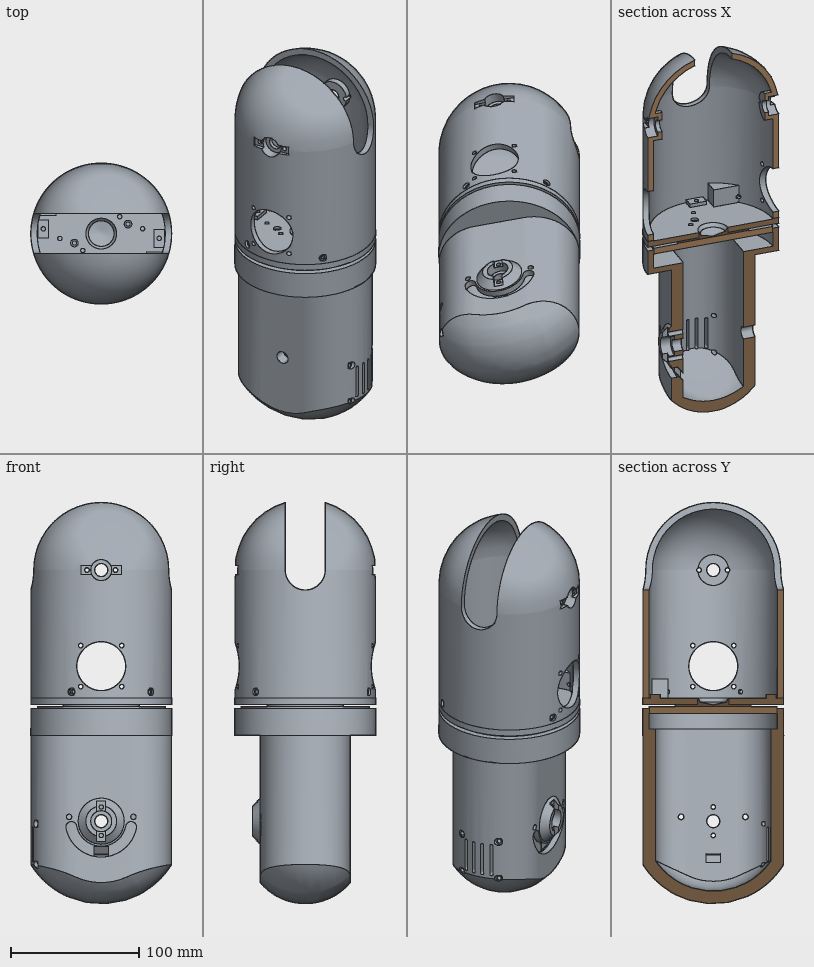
import cadquery as cq
import math

OUTER_D = 110.1
OUTER_R = OUTER_D / 2
HOUSING_R = 55.0
BORE_D = 100.0
BORE_R = BORE_D / 2
WALL = HOUSING_R - BORE_R

HOUSING_BOTTOM_Z = -100.0
PLATE_BOTTOM_Z = -105.0
LID_TOP_Z = -106.5
COLLAR_TOP_Z = -108.0
COLLAR_BOTTOM_Z = -129.0
LOWER_PIVOT_Z = -196.0
TIP_Z = -260.5

PIVOT_HOLE_D = 10.0
HORN_SEAT_D = 16.4
HORN_LENGTH = 31.4
HORN_WIDTH = 7.0
HORN_ARM_DEPTH = 4.0
HORN_SEAT_DEPTH = 8.5
HORN_SCREW_D = 3.4
HORN_SCREW_OFFSET = 11.1

YOKE_GAP = 31.0
PIVOT_PAD_D = 24.0
PIVOT_PAD_FACE_Y = 43.0
FAN_Z = -75.0
FAN_HOLE_D = 38.0
FAN_PITCH = 32.0
SCREW_D = 3.4
SCREW_HEAD_D = 5.9
RIM_SCREW_Z = -95.0
RIM_SCREW_ANGLES = (65.0, 135.0, 245.0, 315.0)
RIM_HEAD_SEAT_R = 53.0

PLATE_LUG_X = 45.2
PLATE_LUG_Y = 3.7
PLATE_LUG_LENGTH = 14.0
PLATE_LUG_WIDTH = 8.0
PLATE_LUG_HEIGHT = 3.0
PLATE_HEAD_DEPTH = 2.0
EAR_INNER_X = 35.3
EAR_START_Y = 14.3
EAR_END_Y = 40.0
EAR_HEIGHT = 15.0
EAR_SCREW_ANGLE = RIM_SCREW_ANGLES[-1]
HEAD_HOLE_AT = (20.9, 7.4)
OUTER_HOLE_AT = (32.3, 3.8)
INNER_HOLE_AT = (14.4, 13.2)

HUB_D = 59.6
HUB_SPIGOT_D = 24.0
HUB_DISH_FLOOR_D = 20.0
HUB_DISH_DEPTH = 3.0
HUB_POINT_ANGLE = 155.0

BODY_WIDTH = 70.4
BODY_HALF_WIDTH = BODY_WIDTH / 2
BODY_WALL = 10.0
CAP_EDGE_RISE = 16.6
LID_SEAT_DEPTH = 4.0
CONE_TOP_D = 24.0
CONE_HEIGHT = 6.0
CONE_BASE_D = CONE_TOP_D + 2 * CONE_HEIGHT
CRESCENT_OUTER_R = 28.0
CRESCENT_INNER_R = 19.5
CRESCENT_END_ANGLE = 11.0
CRESCENT_DEPTH = 5.0
PORT_WIDTH = 11.0
PORT_HEIGHT = 6.4
PORT_DROP = 23.0
PORT_SLOPE = 50.0
SIDE_HOLE_D = 4.2
SIDE_HOLE_X = 25.1
SIDE_HOLE_RISE = 3.4
VENT_Z = -214.0
VENT_WIDTH = 2.4
VENT_LENGTH = 27.0
VENT_PITCH = 7.3
VENT_COUNT = 4
VENT_HEAD_SEAT_X = 49.5


def disc(diameter, bottom_z, top_z):
    return cq.Workplane("XY", origin=(0, 0, bottom_z)).circle(diameter / 2).extrude(top_z - bottom_z)


def rod_along_y(diameter, x, z, y_start, y_end):
    start = cq.Vector(x, y_start, z)
    return cq.Workplane(cq.Solid.makeCylinder(diameter / 2, y_end - y_start, start, cq.Vector(0, 1, 0)))


def fan_corners():
    half = FAN_PITCH / 2
    return [(side, rise) for side in (-half, half) for rise in (-half, half)]


def horn_recess(face_y, pivot_z, arm_angle):
    """Horn seat cut inwards from a face at y = -face_y, with pivot and screw holes through its floor."""
    arm_floor_y = -face_y + HORN_ARM_DEPTH
    seat_floor_y = -face_y + HORN_SEAT_DEPTH
    inner_y = -face_y + 2 * HORN_SEAT_DEPTH
    cutter = rod_along_y(HORN_SEAT_D, 0, 0, -OUTER_D, seat_floor_y)
    arms = cq.Workplane("XY").box(HORN_LENGTH, OUTER_D, HORN_WIDTH).translate((0, arm_floor_y - OUTER_R, 0))
    cutter = cutter.union(arms)
    cutter = cutter.union(rod_along_y(PIVOT_HOLE_D, 0, 0, seat_floor_y, inner_y))
    for x in (-HORN_SCREW_OFFSET, HORN_SCREW_OFFSET):
        cutter = cutter.union(rod_along_y(HORN_SCREW_D, x, 0, arm_floor_y, inner_y))
    return cutter.rotate((0, 0, 0), (0, 1, 0), arm_angle).translate((0, 0, pivot_z))


def domed_cylinder(radius):
    return disc(2 * radius, HOUSING_BOTTOM_Z, 0).union(cq.Workplane("XY").sphere(radius))


def yoke_gap():
    gap_bottom = cq.Workplane("YZ").circle(YOKE_GAP / 2).extrude(OUTER_R, both=True)
    gap = cq.Workplane("XY").box(2 * OUTER_R, YOKE_GAP, OUTER_D, centered=(True, True, False))
    return gap.union(gap_bottom)


def fan_screw_holes():
    cutter = rod_along_y(FAN_HOLE_D, 0, FAN_Z, -OUTER_R, OUTER_R)
    for x, rise in fan_corners():
        cutter = cutter.union(rod_along_y(SCREW_D, x, FAN_Z + rise, -OUTER_R, OUTER_R))
    return cutter


def rim_screw_hole(angle):
    through = cq.Workplane("YZ").circle(SCREW_D / 2).extrude(OUTER_D)
    head = cq.Workplane("YZ", origin=(RIM_HEAD_SEAT_R, 0, 0)).circle(SCREW_HEAD_D / 2).extrude(OUTER_R)
    return through.union(head).rotate((0, 0, 0), (0, 0, 1), angle).translate((0, 0, RIM_SCREW_Z))


def make_upper_housing():
    shell = domed_cylinder(HOUSING_R).cut(domed_cylinder(BORE_R))
    pads = rod_along_y(PIVOT_PAD_D, 0, 0, -OUTER_R, OUTER_R)
    pads = pads.cut(rod_along_y(PIVOT_PAD_D, 0, 0, -PIVOT_PAD_FACE_Y, PIVOT_PAD_FACE_Y))
    shell = shell.union(pads.intersect(domed_cylinder(BORE_R + WALL / 2)))
    shell = shell.cut(yoke_gap()).cut(fan_screw_holes())
    recess = horn_recess(HOUSING_R, 0, 0)
    shell = shell.cut(recess).cut(recess.rotate((0, 0, 0), (0, 0, 1), 180))
    for angle in RIM_SCREW_ANGLES:
        shell = shell.cut(rim_screw_hole(angle))
    return shell


def rim_screw_ear():
    """Upright block inside the housing that takes one rim screw."""
    top = cq.Workplane("XY", origin=(EAR_INNER_X, -EAR_END_Y, HOUSING_BOTTOM_Z))
    block = top.rect(BORE_R, EAR_END_Y - EAR_START_Y, centered=False).extrude(EAR_HEIGHT)
    block = block.intersect(disc(BORE_D, HOUSING_BOTTOM_Z, 0))
    return block.cut(rim_screw_hole(EAR_SCREW_ANGLE))


def make_base_plate():
    plate = disc(OUTER_D, PLATE_BOTTOM_Z, HOUSING_BOTTOM_Z)
    plate = plate.cut(disc(HUB_SPIGOT_D, PLATE_BOTTOM_Z, HOUSING_BOTTOM_Z))
    top = cq.Workplane("XY", origin=(0, 0, HOUSING_BOTTOM_Z))
    lug_offset = (-PLATE_LUG_X, PLATE_LUG_Y)
    for turn in (1, -1):
        lug_at = (turn * lug_offset[0], turn * lug_offset[1])
        lug = top.center(*lug_at).rect(PLATE_LUG_WIDTH, PLATE_LUG_LENGTH).extrude(PLATE_LUG_HEIGHT)
        plate = plate.union(lug.intersect(disc(BORE_D, HOUSING_BOTTOM_Z, 0)))
        for x, y in (lug_offset, HEAD_HOLE_AT, OUTER_HOLE_AT, INNER_HOLE_AT):
            plate = plate.cut(disc(SCREW_D, PLATE_BOTTOM_Z, 0).translate((turn * x, turn * y, 0)))
        head = disc(SCREW_HEAD_D, HOUSING_BOTTOM_Z - PLATE_HEAD_DEPTH, HOUSING_BOTTOM_Z)
        plate = plate.cut(head.translate((turn * HEAD_HOLE_AT[0], turn * HEAD_HOLE_AT[1], 0)))
    ear = rim_screw_ear()
    return plate.union(ear).union(ear.rotate((0, 0, 0), (0, 0, 1), 180))


def make_hub():
    hub = disc(HUB_D, LID_TOP_Z, PLATE_BOTTOM_Z).union(disc(HUB_SPIGOT_D, PLATE_BOTTOM_Z, HOUSING_BOTTOM_Z))
    rim_r = HUB_SPIGOT_D / 2
    floor_r = HUB_DISH_FLOOR_D / 2
    floor_z = HOUSING_BOTTOM_Z - HUB_DISH_DEPTH
    point_z = floor_z - floor_r / math.tan(math.radians(HUB_POINT_ANGLE / 2))
    dish_profile = [(0, point_z), (floor_r, floor_z), (rim_r, HOUSING_BOTTOM_Z), (0, HOUSING_BOTTOM_Z)]
    dish = cq.Workplane("XZ").polyline(dish_profile).close().revolve(360, (0, 0), (0, 1))
    return hub.cut(dish)


def make_lid():
    return disc(BORE_D, COLLAR_TOP_Z - LID_SEAT_DEPTH, LID_TOP_Z)


def stadium_prism(inset, bottom_z, top_z):
    sketch = cq.Workplane("XY", origin=(0, 0, bottom_z))
    return sketch.slot2D(2 * (HOUSING_R - inset), BODY_WIDTH - 2 * inset).extrude(top_z - bottom_z)


def barrel(inset):
    """Solid turned about the lower pivot axis; its bulging rim forms the tip of the body."""
    mid_r = LOWER_PIVOT_Z - TIP_Z - inset
    edge_r = mid_r - CAP_EDGE_RISE
    profile = cq.Workplane("XY").moveTo(0, -BODY_HALF_WIDTH).lineTo(edge_r, -BODY_HALF_WIDTH)
    profile = profile.threePointArc((mid_r, 0), (edge_r, BODY_HALF_WIDTH)).lineTo(0, BODY_HALF_WIDTH).close()
    return profile.revolve(360, (0, 0), (0, 1)).translate((0, 0, LOWER_PIVOT_Z))


def tipped_body(inset, top_z):
    tip = stadium_prism(inset, TIP_Z, LOWER_PIVOT_Z).intersect(barrel(inset))
    return stadium_prism(inset, LOWER_PIVOT_Z, top_z).union(tip)


def pivot_cone():
    base = cq.Workplane("XZ", origin=(0, -BODY_HALF_WIDTH, LOWER_PIVOT_Z)).circle(CONE_BASE_D / 2)
    return base.workplane(offset=CONE_HEIGHT).circle(CONE_TOP_D / 2).loft()


def crescent_pocket():
    mid_r = (CRESCENT_OUTER_R + CRESCENT_INNER_R) / 2
    end_r = (CRESCENT_OUTER_R - CRESCENT_INNER_R) / 2
    end_angle = math.radians(CRESCENT_END_ANGLE)

    def at(radius, side):
        return (side * radius * math.cos(end_angle), -radius * math.sin(end_angle))

    def end_cap(side):
        middle = at(mid_r, side)
        return (middle[0] + side * end_r * math.sin(end_angle), middle[1] + end_r * math.cos(end_angle))

    outline = cq.Workplane("XZ", origin=(0, 0, LOWER_PIVOT_Z))
    outline = outline.moveTo(*at(CRESCENT_OUTER_R, -1))
    outline = outline.threePointArc((0, -CRESCENT_OUTER_R), at(CRESCENT_OUTER_R, 1))
    outline = outline.threePointArc(end_cap(1), at(CRESCENT_INNER_R, 1))
    outline = outline.threePointArc((0, -CRESCENT_INNER_R), at(CRESCENT_INNER_R, -1))
    outline = outline.threePointArc(end_cap(-1), at(CRESCENT_OUTER_R, -1)).close()
    skin = stadium_prism(0, TIP_Z, COLLAR_BOTTOM_Z).cut(stadium_prism(CRESCENT_DEPTH, TIP_Z, COLLAR_BOTTOM_Z))
    return outline.extrude(BODY_WIDTH).intersect(skin)


def crescent_port():
    """Passage that slopes down and inwards from the crescent floor into the cavity."""
    mouth_y = CRESCENT_DEPTH - BODY_HALF_WIDTH
    mouth_z = LOWER_PIVOT_Z - PORT_DROP
    length = BODY_WALL
    drop = length * math.tan(math.radians(PORT_SLOPE))
    mouth = [(mouth_y, mouth_z - PORT_HEIGHT / 2), (mouth_y, mouth_z + PORT_HEIGHT / 2)]
    inner_end = [(y + length, z - drop) for y, z in reversed(mouth)]
    profile = cq.Workplane("YZ").polyline(mouth + inner_end).close()
    return profile.extrude(PORT_WIDTH / 2, both=True)


def vent_cutters():
    """Upright vent slots and fan screw holes through the -X wall."""
    outside = cq.Workplane("YZ", origin=(-OUTER_R, 0, VENT_Z))
    slots = outside.rarray(VENT_PITCH, 1, VENT_COUNT, 1).slot2D(VENT_LENGTH, VENT_WIDTH, 90)
    cutter = slots.extrude(2 * BODY_WALL)
    cutter = cutter.union(outside.pushPoints(fan_corners()).circle(SCREW_D / 2).extrude(2 * BODY_WALL))
    heads = outside.pushPoints(fan_corners()).circle(SCREW_HEAD_D / 2).extrude(OUTER_R - VENT_HEAD_SEAT_X)
    return cutter.union(heads)


def make_lower_housing():
    body = disc(OUTER_D, COLLAR_BOTTOM_Z, COLLAR_TOP_Z).union(tipped_body(0, COLLAR_BOTTOM_Z))
    body = body.union(pivot_cone())
    body = body.cut(disc(BORE_D, COLLAR_BOTTOM_Z + WALL, COLLAR_TOP_Z))
    body = body.cut(tipped_body(BODY_WALL, COLLAR_BOTTOM_Z + WALL))
    body = body.cut(horn_recess(BODY_HALF_WIDTH + CONE_HEIGHT, LOWER_PIVOT_Z, 90))
    body = body.cut(rod_along_y(PIVOT_HOLE_D, 0, LOWER_PIVOT_Z, 0, BODY_WIDTH))
    body = body.cut(crescent_pocket()).cut(crescent_port())
    for x in (-SIDE_HOLE_X, SIDE_HOLE_X):
        hole = rod_along_y(SIDE_HOLE_D, x, LOWER_PIVOT_Z + SIDE_HOLE_RISE, -BODY_WIDTH, 0)
        body = body.cut(hole)
    return body.cut(vent_cutters())


upper_housing = make_upper_housing()
base_plate = make_base_plate()
hub = make_hub()
lid = make_lid()
lower_housing = make_lower_housing()

bodies = [upper_housing, base_plate, hub, lid, lower_housing]
result = cq.Compound.makeCompound([body.solids().val() for body in bodies])